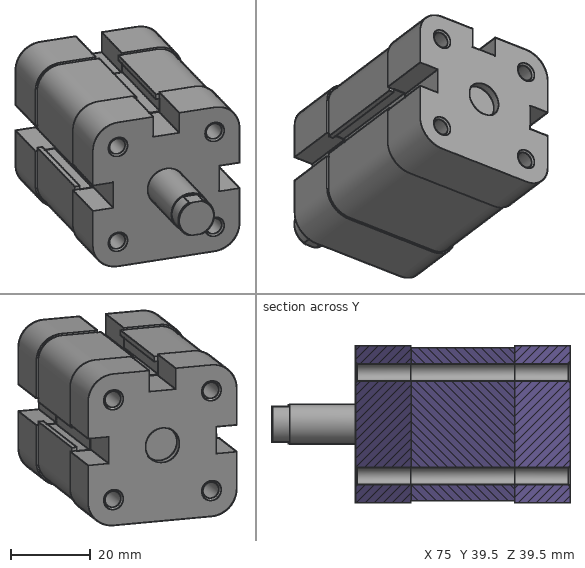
import cadquery as cq

total_length = 75.0
cap_size = 39.5
cap_length = 13.95
body_length = 54.0
tube_length = body_length - 2 * cap_length
front_cap_x = body_length - cap_length

corner_radius = 6.75
hole_offset = cap_size / 2 - corner_radius
hole_diameter = 4.2
countersink_diameter = 5.2
countersink_depth = (countersink_diameter - hole_diameter) / 2

cap_slot_width = 7.0
cap_slot_depth = 5.5
cap_slot_floor = cap_size / 2 - cap_slot_depth

tube_inset = 0.5
tube_size = cap_size - 2 * tube_inset
tube_corner_radius = corner_radius - tube_inset
lip_thickness = 1.35
mouth_width = 5.2
tube_slot_width = 7.3
tube_slot_floor = cap_slot_floor + 0.2

recess_diameter = 9.0
recess_depth = 2.0

rod_diameter = 10.05
shoulder_x = 70.5
tip_diameter = 9.75
tip_chamfer = 0.2
flats_gap = 0.3
flats_width = 9.0

slot_angles = (0, 90, -90)


def rounded_block(size, radius, start_x, length):
    """Square bar along X with rounded long edges."""
    block = cq.Workplane("YZ").workplane(offset=start_x).rect(size, size).extrude(length)
    return block.edges("|X").fillet(radius)


def top_channel(width, floor, top, start_x, length):
    """Straight channel along X in the top side, from the floor height to the top height."""
    channel = cq.Workplane("XY").box(length, width, top - floor, centered=(False, True, False))
    return channel.translate((start_x, 0, floor))


def cut_on_three_sides(body, cutter):
    """Cuts the top-side cutter into the top and both Y sides."""
    for angle in slot_angles:
        body = body.cut(cutter.rotate((0, 0, 0), (1, 0, 0), angle))
    return body


def corner_holes(start_x, length):
    """Four through-hole cutters at the corners."""
    plane = cq.Workplane("YZ").workplane(offset=start_x)
    centers = plane.rect(2 * hole_offset, 2 * hole_offset, forConstruction=True).vertices()
    return centers.circle(hole_diameter / 2).extrude(length)


def make_cap():
    """End cap with its outer face at X = 0 and countersunk corner holes."""
    cap = rounded_block(cap_size, corner_radius, 0, cap_length)
    slot = top_channel(cap_slot_width, cap_slot_floor, cap_size / 2, 0, cap_length)
    cap = cut_on_three_sides(cap, slot)
    cap = cap.cut(corner_holes(0, cap_length))
    for y in (-hole_offset, hole_offset):
        for z in (-hole_offset, hole_offset):
            countersink = cq.Solid.makeCone(
                countersink_diameter / 2,
                hole_diameter / 2,
                countersink_depth,
                cq.Vector(0, y, z),
                cq.Vector(1, 0, 0),
            )
            cap = cap.cut(cq.Workplane(countersink))
    return cap


def make_rear_cap():
    recess = cq.Workplane("YZ").circle(recess_diameter / 2).extrude(recess_depth)
    return make_cap().cut(recess)


def make_front_cap():
    cap = make_cap().mirror("YZ").translate((body_length, 0, 0))
    bore = cq.Workplane("YZ").workplane(offset=front_cap_x).circle(rod_diameter / 2).extrude(cap_length)
    return cap.cut(bore)


def make_tube():
    tube = rounded_block(tube_size, tube_corner_radius, cap_length, tube_length)
    lip_bottom = tube_size / 2 - lip_thickness
    mouth = top_channel(mouth_width, lip_bottom, tube_size / 2, cap_length, tube_length)
    chamber = top_channel(tube_slot_width, tube_slot_floor, lip_bottom, cap_length, tube_length)
    tube = cut_on_three_sides(tube, mouth.union(chamber))
    return tube.cut(corner_holes(cap_length, tube_length))


def make_rod():
    """Rod through the front cap, with a chamfered tip flattened on its top and bottom."""
    shaft = cq.Workplane("YZ").workplane(offset=front_cap_x).circle(rod_diameter / 2)
    shaft = shaft.extrude(shoulder_x - front_cap_x)
    tip_length = total_length - shoulder_x
    tip = cq.Workplane("YZ").workplane(offset=shoulder_x).circle(tip_diameter / 2).extrude(tip_length)
    rod = shaft.union(tip.faces(">X").chamfer(tip_chamfer))
    flats_x = shoulder_x + flats_gap
    flat = top_channel(tip_diameter, flats_width / 2, tip_diameter / 2, flats_x, total_length - flats_x)
    return rod.cut(flat).cut(flat.mirror("XY"))


rear_cap = make_rear_cap()
front_cap = make_front_cap()
tube = make_tube()
rod = make_rod()

result = cq.Compound.makeCompound([rear_cap.val(), tube.val(), front_cap.val(), rod.val()])